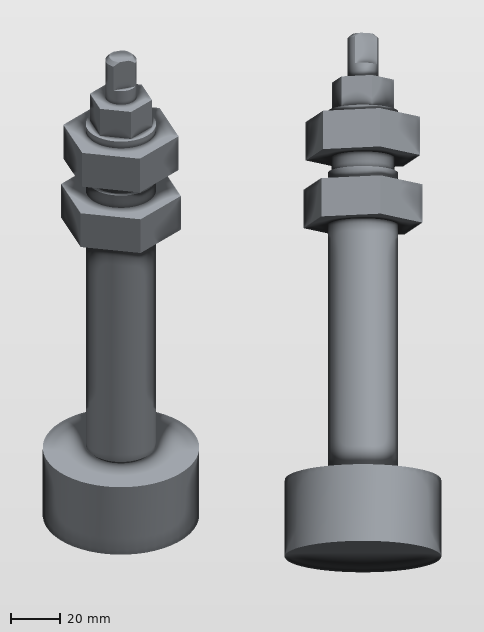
import cadquery as cq
import math

overall_height = 215.9

head_diameter = 63.5
head_height = 31.75

neck_diameter = 25.4
shank_diameter = 28.575
bottom_neck_length = 1.5875
shank_bottom = head_height + bottom_neck_length
shank_top = 158.75
top_neck_length = 6.35

spindle_hex_flats = 41.275
spindle_hex_height = 15.875
spindle_hex_bottom = shank_top + top_neck_length
collar_height = 3.175
collar_bottom = spindle_hex_bottom + spindle_hex_height
collar_top = collar_bottom + collar_height

stud_diameter = 12.7
stud_chamfer = 1.5875
stud_flats_width = 8.73
stud_flats_length = 12.7

shank_nut_flats = 42.8625
shank_nut_height = 15.875
shank_nut_bottom = 137.1

stud_nut_flats = 22.225
stud_nut_height = 12.7
stud_nut_bottom = collar_top


def cylinder(diameter, bottom, top):
    """Upright cylinder on the Z axis."""
    base = cq.Workplane("XY").workplane(offset=bottom)
    return base.circle(diameter / 2).extrude(top - bottom)


def hexagon(across_flats, bottom, height):
    """Upright hexagonal prism with two corners in line with the X axis."""
    across_corners = across_flats / math.cos(math.pi / 6)
    base = cq.Workplane("XY").workplane(offset=bottom)
    return base.polygon(6, across_corners).extrude(height)


def make_stud():
    """Round stud with a chamfered end and two flats facing -X and +X."""
    stud = cylinder(stud_diameter, collar_top, overall_height)
    stud = stud.faces(">Z").chamfer(stud_chamfer)
    cutter_offset = (stud_flats_width + stud_diameter) / 2
    for side in (-1, 1):
        base = cq.Workplane("XY").workplane(offset=overall_height - stud_flats_length)
        base = base.center(side * cutter_offset, 0)
        cutter = base.rect(stud_diameter, 2 * stud_diameter).extrude(stud_flats_length)
        stud = stud.cut(cutter)
    return stud


def make_spindle():
    """Head, necks, shank, wrench hex, collar and stud as one solid."""
    spindle = cylinder(head_diameter, 0, head_height)
    spindle = spindle.union(cylinder(neck_diameter, head_height, spindle_hex_bottom))
    spindle = spindle.union(cylinder(shank_diameter, shank_bottom, shank_top))
    spindle = spindle.union(hexagon(spindle_hex_flats, spindle_hex_bottom, spindle_hex_height))
    spindle = spindle.union(cylinder(shank_diameter, collar_bottom, collar_top))
    return spindle.union(make_stud())


def make_nut(across_flats, bore_diameter, bottom, height):
    """Hexagonal nut with a plain through bore."""
    bore = cylinder(bore_diameter, bottom, bottom + height)
    return hexagon(across_flats, bottom, height).cut(bore)


spindle = make_spindle()
shank_nut = make_nut(shank_nut_flats, shank_diameter, shank_nut_bottom, shank_nut_height)
stud_nut = make_nut(stud_nut_flats, stud_diameter, stud_nut_bottom, stud_nut_height)

result = cq.Compound.makeCompound([spindle.val(), shank_nut.val(), stud_nut.val()])